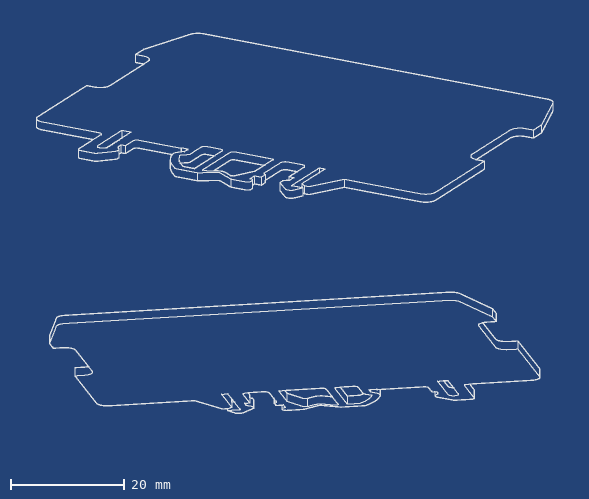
import cadquery as cq
import math


length = 80.0
plate_height = 53.0
thickness = 1.5
shoulder_run = 4.0
shoulder_rise = 12.0
notch_depth = 3.6
notch_bottom = 20.0
notch_height = 17.9
plate_radius = 2.0

foot_bottom = -9.5
relief_top = 3.0
lip_level = -3.5
window_floor = -7.8
small_radius = 0.7
tip_radius = 0.3

left_foot_left = -25.8
left_foot_right = -19.4
lip_depth = 0.9
lip_height = 1.1
barb_slope_height = 1.2
barb_bottom = -6.7
left_foot_tip_x = -22.1
left_slot_x = -22.7
left_slot_width = 1.8
left_slot_bottom = -6.6

neck_x = -8.8
neck_bottom = -1.0
step_left = -10.2
step_height = 0.2
elbow_x = -10.0
elbow_top = -2.5
elbow_bottom = -3.8
bow_x = -8.7
bow_y = -6.8
bow_radius = 9.6
bow_foot_x = -6.1
left_window_left = -7.3
left_window_right = -3.1
left_window_neck = -2.1
left_window_elbow_x = -8.6
left_window_elbow_y = -3.2
left_window_bow_x = -7.3
left_window_bow_y = -6.1
left_window_floor_x = -5.4
right_window_left = -1.5
right_window_right = 6.9
right_window_bend = -3.8
right_window_floor_x = 4.7
arch_x = 1.8
arch_half_width = 3.4
arch_peak = -7.5
arch_radius = 0.6
inner_arch_half_width = 2.3
inner_arch_peak = -6.4
inner_arch_radius = 1.8
centre_foot_right = 8.8
heel_x = 9.4
heel_top = -4.1
heel_slope = 0.5
rail_groove_x = 8.0
rail_groove_top = -6.1
rail_groove_bottom = -7.7

gap_radius = 1.0

latch_left = 13.5
latch_lip_x = 14.5
latch_lip_bottom = -4.9
latch_barb_top = -5.7
latch_barb_bottom = -6.9
latch_tip_left = 16.2
latch_tip_right = 17.3
latch_toe_x = 18.4
latch_toe_y = -7.3
latch_slot_left = 16.1
latch_slot_right = 17.2

spur_root_x = 22.7
spur_tip_right = 19.0
spur_tip_left = 18.1
spur_bottom = -6.2
spur_chamfer_top = -5.4


def rounded_outline(corners):
    """Closed wire through (x, y, radius) corners; radius 0 keeps a corner sharp."""
    edges = []
    previous_end = None
    first_start = None
    for i, (x, y, radius) in enumerate(corners):
        corner = cq.Vector(x, y)
        last_x, last_y, _ = corners[i - 1]
        next_x, next_y, _ = corners[(i + 1) % len(corners)]
        back = (cq.Vector(last_x, last_y) - corner).normalized()
        ahead = (cq.Vector(next_x, next_y) - corner).normalized()
        half_angle = back.getAngle(ahead) / 2
        setback = radius / math.tan(half_angle)
        start = corner + back * setback
        end = corner + ahead * setback
        if previous_end is None:
            first_start = start
        else:
            edges.append(cq.Edge.makeLine(previous_end, start))
        if radius > 0:
            bisector = (back + ahead).normalized()
            middle = corner + bisector * (radius / math.sin(half_angle) - radius)
            edges.append(cq.Edge.makeThreePointArc(start, middle, end))
        previous_end = end
    edges.append(cq.Edge.makeLine(previous_end, first_start))
    return cq.Wire.assembleEdges(edges)


def plate_side():
    """Right side of the plate, from its lower corner up to its top corner."""
    side = length / 2
    notch_x = side - notch_depth
    notch_top = notch_bottom + notch_height
    return [
        (side, 0, plate_radius),
        (side, notch_bottom, 0),
        (notch_x, notch_bottom, plate_radius),
        (notch_x, notch_top, plate_radius),
        (side, notch_top, 0),
        (side, plate_height - shoulder_rise, 0),
        (side - shoulder_run, plate_height, plate_radius),
    ]


def left_foot():
    """Snap foot with a rail lip and a barb, from left to right."""
    lip_x = left_foot_right - lip_depth
    lip_bottom = lip_level - lip_height
    return [
        (left_foot_left, 0, small_radius),
        (left_foot_left, foot_bottom, small_radius),
        (left_foot_tip_x, foot_bottom, small_radius),
        (left_foot_right, barb_bottom, small_radius),
        (left_foot_right, lip_bottom - barb_slope_height, tip_radius),
        (lip_x, lip_bottom, 0),
        (lip_x, lip_level, 0),
        (left_foot_right, lip_level, 0),
        (left_foot_right, 0, small_radius),
    ]


def centre_foot():
    """Outside of the framed foot, from its neck round to the gap on its right."""
    return [
        (step_left, 0, 0),
        (step_left, step_height, 0),
        (neck_x, step_height, 0),
        (neck_x, neck_bottom, 0),
        (elbow_x, elbow_top, small_radius),
        (elbow_x, elbow_bottom, small_radius),
        (bow_x, bow_y, bow_radius),
        (bow_foot_x, foot_bottom, small_radius),
        (arch_x - arch_half_width, foot_bottom, 0),
        (arch_x, arch_peak, arch_radius),
        (arch_x + arch_half_width, foot_bottom, 0),
        (centre_foot_right, foot_bottom, small_radius),
        (centre_foot_right, rail_groove_bottom, small_radius),
        (rail_groove_x, rail_groove_bottom, 0),
        (rail_groove_x, rail_groove_top, 0),
        (heel_x, rail_groove_top, 0),
        (heel_x, heel_top - heel_slope, 0),
        (centre_foot_right, heel_top, 0),
        (centre_foot_right, relief_top, gap_radius),
    ]


def latch():
    """Springy latch arm, from the gap on its left to the slot on its right."""
    return [
        (latch_left, relief_top, gap_radius),
        (latch_left, lip_level, 0),
        (latch_lip_x, lip_level, 0),
        (latch_lip_x, latch_lip_bottom, 0),
        (latch_left, latch_barb_top, tip_radius),
        (latch_left, latch_barb_bottom, tip_radius),
        (latch_tip_left, foot_bottom, small_radius),
        (latch_tip_right, foot_bottom, small_radius),
        (latch_toe_x, latch_toe_y, 0),
        (latch_slot_left, latch_toe_y, 0),
        (latch_slot_left, relief_top, 0),
    ]


def spur():
    """Tapered spur beside the latch slot, from left to right."""
    return [
        (latch_slot_right, relief_top, 0),
        (latch_slot_right, spur_chamfer_top, 0),
        (spur_tip_left, spur_bottom, 0),
        (spur_tip_right, spur_bottom, tip_radius),
        (spur_root_x, 0, 0),
    ]


def left_slot():
    """Slot that makes the left foot springy, with a round lower end."""
    left = left_slot_x - left_slot_width / 2
    right = left_slot_x + left_slot_width / 2
    round_centre_y = left_slot_bottom + left_slot_width / 2
    return (
        cq.Workplane("XY")
        .moveTo(left, relief_top)
        .lineTo(left, round_centre_y)
        .threePointArc((left_slot_x, left_slot_bottom), (right, round_centre_y))
        .lineTo(right, relief_top)
        .close()
        .wire()
        .val()
    )


def left_window():
    """Left window of the centre foot, following the bowed strut."""
    return rounded_outline([
        (left_window_left, relief_top, small_radius),
        (left_window_left, left_window_neck, tip_radius),
        (left_window_elbow_x, left_window_elbow_y, tip_radius),
        (left_window_bow_x, left_window_bow_y, bow_radius),
        (left_window_floor_x, window_floor, tip_radius),
        (left_window_right, window_floor, 0),
        (left_window_right, relief_top, small_radius),
    ])


def right_window():
    """Right window of the centre foot, with the arch rising from its floor."""
    return rounded_outline([
        (right_window_left, relief_top, small_radius),
        (right_window_left, window_floor, 0),
        (arch_x - inner_arch_half_width, window_floor, tip_radius),
        (arch_x, inner_arch_peak, inner_arch_radius),
        (arch_x + inner_arch_half_width, window_floor, 0),
        (right_window_floor_x, window_floor, tip_radius),
        (right_window_right, right_window_bend, 0),
        (right_window_right, relief_top, 0),
    ])


right_side = plate_side()
left_side = [(-x, y, radius) for x, y, radius in reversed(right_side)]
feet = left_foot() + centre_foot() + latch() + spur()

outline = rounded_outline(left_side + feet + right_side)
openings = [left_slot(), left_window(), right_window()]

result = cq.Workplane(cq.Solid.extrudeLinear(outline, openings, cq.Vector(0, 0, thickness)))